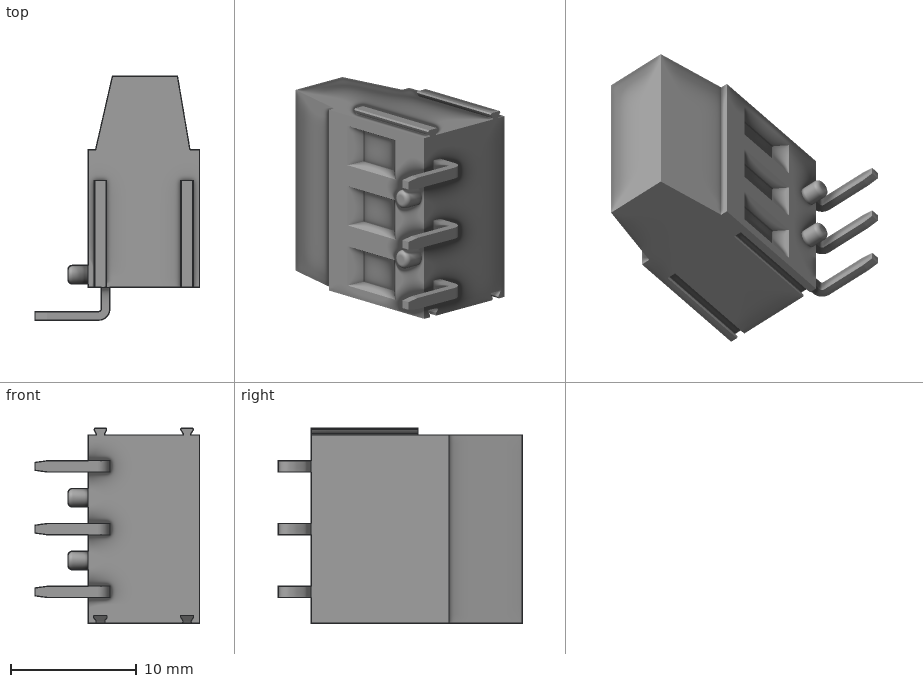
import cadquery as cq

pole_count = 3
pitch = 5.0
overall_width = 13.1
overall_depth = 19.45
overall_height = 15.56

body_width = 8.87
body_height = 15.02
body_depth = 16.82
shoulder_y = 10.97
left_shoulder = 0.58
right_shoulder = 0.75
nose_left_x = 1.93
nose_right_x = body_width - 1.75

entry_center_y = 6.07
entry_mouth_depth = 5.48
entry_mouth_height = 3.27
entry_floor_depth = 3.54
entry_floor_height = 2.55
entry_taper = 0.8
entry_recess = 0.14

pin_width = 0.91
pin_thickness = 0.7
pin_back_x = 1.73
pin_bend_radius = 0.91
pin_reach = overall_width - body_width
pin_drop = overall_depth - body_depth
pin_tip_length = 1.0
pin_tip_width = 0.65
pin_embed = 0.2

peg_diameter = 1.5
peg_length = 1.61
peg_rounding = 0.37
peg_y = 1.01

joint_length = 8.52
left_joint_x = 0.97
right_joint_x = 7.88
rail_height = overall_height - body_height
left_rail = [(0.35, 0), (0.35, 0.1), (0.5, 0.4), (0.45, rail_height)]
right_rail = [(0.31, 0), (0.31, 0.1), (0.53, 0.43), (0.45, rail_height)]
left_groove = [(0.35, 0), (0.35, 0.23), (0.55, 0.45), (0.55, 0.55), (0.5, 0.62)]
right_groove = [(0.39, 0), (0.31, 0.12), (0.31, 0.18), (0.53, 0.5), (0.53, 0.62)]


def make_housing():
    """Rectangular block that narrows into a tapered nose at the back."""
    outline = [
        (0, 0),
        (body_width, 0),
        (body_width, shoulder_y),
        (body_width - right_shoulder, shoulder_y),
        (nose_right_x, body_depth),
        (nose_left_x, body_depth),
        (left_shoulder, shoulder_y),
        (0, shoulder_y),
    ]
    return cq.Workplane("XY").polyline(outline).close().extrude(body_height)


def make_joint(half_profile, center_x, base_z):
    """Symmetric dovetail bar running back from the front face."""
    right_side = [(center_x + half, base_z + height) for half, height in half_profile]
    left_side = [(center_x - half, base_z + height) for half, height in reversed(half_profile)]
    return cq.Workplane("XZ").polyline(right_side + left_side).close().extrude(-joint_length)


def make_wire_entry(center_z):
    """Solid to remove from the left face: a funnel and the recess behind it."""
    mouth = cq.Workplane("YZ").center(entry_center_y, center_z).rect(entry_mouth_depth, entry_mouth_height)
    funnel = mouth.workplane(offset=entry_taper).rect(entry_floor_depth, entry_floor_height).loft()
    recess = funnel.faces(">X").wires().toPending().workplane().extrude(entry_recess)
    return recess


def make_pin(center_z):
    """Flat pin leaving the front face, bent to the left and narrowed at its tip."""
    pin_front_x = pin_back_x - pin_thickness
    leg_back_y = -pin_drop + pin_thickness
    strip = (
        cq.Workplane("XY", origin=(0, 0, center_z))
        .moveTo(pin_front_x, pin_embed)
        .lineTo(pin_back_x, pin_embed)
        .lineTo(pin_back_x, pin_bend_radius - pin_drop)
        .radiusArc((pin_back_x - pin_bend_radius, -pin_drop), pin_bend_radius)
        .lineTo(-pin_reach, -pin_drop)
        .lineTo(-pin_reach, leg_back_y)
        .lineTo(pin_back_x - pin_bend_radius, leg_back_y)
        .radiusArc((pin_front_x, pin_bend_radius - pin_drop), pin_thickness - pin_bend_radius)
        .close()
        .extrude(pin_width / 2, both=True)
    )
    tip_start_x = pin_tip_length - pin_reach
    side_outline = [
        (-pin_reach, center_z - pin_tip_width / 2),
        (tip_start_x, center_z - pin_width / 2),
        (pin_back_x, center_z - pin_width / 2),
        (pin_back_x, center_z + pin_width / 2),
        (tip_start_x, center_z + pin_width / 2),
        (-pin_reach, center_z + pin_tip_width / 2),
    ]
    envelope = cq.Workplane("XZ").polyline(side_outline).close().extrude(overall_depth, both=True)
    return strip.intersect(envelope)


def make_peg(center_z):
    """Round peg with a rounded end, standing on the left face."""
    peg = cq.Workplane("YZ").center(peg_y, center_z).circle(peg_diameter / 2).extrude(-peg_length)
    return peg.faces("<X").edges().fillet(peg_rounding)


result = make_housing()

for rail, groove, joint_x in [
    (left_rail, left_groove, left_joint_x),
    (right_rail, right_groove, right_joint_x),
]:
    result = result.union(make_joint(rail, joint_x, body_height))
    result = result.cut(make_joint(groove, joint_x, 0))

lowest_pole_z = (body_height - (pole_count - 1) * pitch) / 2
for pole in range(pole_count):
    pole_z = lowest_pole_z + pole * pitch
    result = result.cut(make_wire_entry(pole_z))
    result = result.union(make_pin(pole_z))

for gap in range(pole_count - 1):
    result = result.union(make_peg(lowest_pole_z + (gap + 0.5) * pitch))